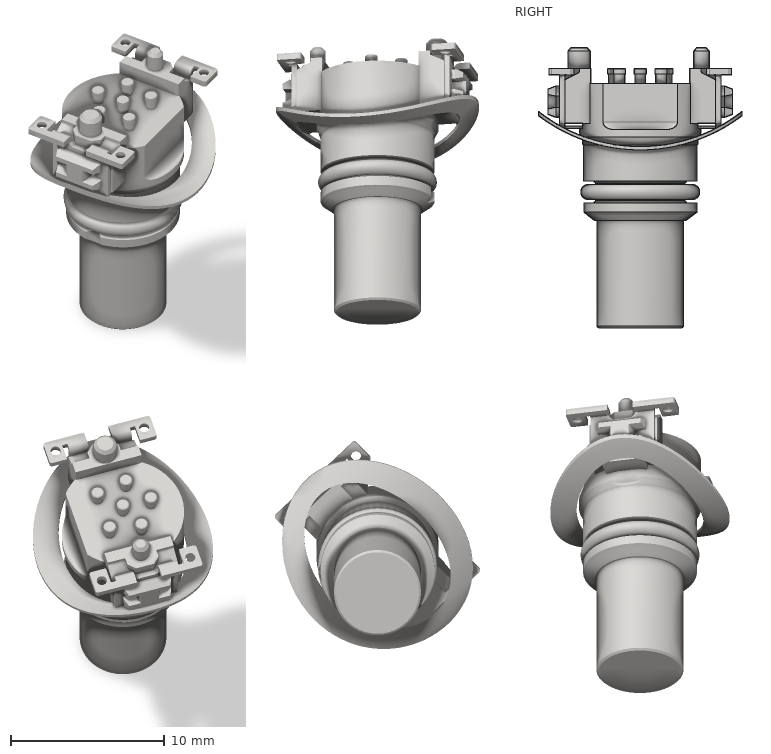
import cadquery as cq
import math

CLEARANCE = 0.18

BARREL_RADIUS = 2.84
BARREL_BOTTOM_CHAMFER = 0.13
RIM_RADIUS = 3.71
FLANGE_CONE_RADII = (2.96, 3.55)
FLANGE_LEVELS = (7.0, 7.45, 7.55, 8.16)
NECK_RADIUS = 2.91
NECK_FLARE = 0.15
MIDDLE_BOTTOM = 9.59
MIDDLE_TOP = 11.95
HEAD_RADIUS = 3.99
HEAD_BOTTOM = 12.46
HEAD_TOP = 15.95

ORING_OUTER_RADIUS = 3.88
ORING_SECTION_RADIUS = 0.5
ORING_Z = (FLANGE_LEVELS[3] + MIDDLE_BOTTOM) / 2

NOTCH_RADIUS = 0.6
NOTCH_DEPTH = 0.4

HEAD_FLAT_X = 3.17
HEAD_FLAT_FILLET = 0.51
HEAD_FLAT_FLOOR = 12.94

RING_OUTER = (11.6 / 2, 13.3 / 2)
RING_INNER = (4.06, 5.45)
RING_BOTTOM = 11.62
RING_BEND_RADIUS = 10.98
RING_THICKNESS = 0.22

CONTACT_POSITIONS = [(0, 0), (-1.9, 0), (-0.73, 1.74), (-0.73, -1.74), (1.32, 1.35), (1.32, -1.35)]
CONTACT_RADIUS = 0.35
CONTACT_COLLAR_RADIUS = 0.4
CONTACT_COLLAR_HEIGHT = 0.37
CONTACT_CHAMFER = 0.05

TOWER_HALF_WIDTH = 2.25
TOWER_INNER_Y = 3.22
TOWER_BOTTOM = 13.35
TOWER_TOP = 16.95
SHOULDER_INNER_Y = 3.97
SHOULDER_ARC_START = (SHOULDER_INNER_Y, 16.75)
SHOULDER_ARC_MIDDLE = (4.0, 16.67)
SHOULDER_ARC_END = (4.1, 16.62)
SHOULDER_SLOPE_END = (4.8, 16.27)
SHOULDER_HALF_WIDTH = 1.06
SHOULDER_BEVEL = 0.45
SHOULDER_BOTTOM = 16.18
TONGUE_HALF_WIDTH = SHOULDER_HALF_WIDTH - SHOULDER_BEVEL

PLATE_INNER_Y = 4.92
PLATE_OUTER_Y = 5.27
PLATE_HALF_WIDTH = 2.12
FOOT_HALF_WIDTH = 1.4
FOOT_BOTTOM = 13.01
FOOT_THICKNESS = 0.18
FOOT_INNER_Y = 3.75
FOOT_CORNER_RADIUS = 0.16

RELIEF_FACE_Y = 3.95
RELIEF_ARC_START = (RELIEF_FACE_Y, 12.88)
RELIEF_ARC_MIDDLE = (3.92, 12.57)
RELIEF_ARC_END = (3.82, 12.35)
RELIEF_FLOOR = (3.75, 12.22)

EAR_BOTTOM = 16.52
EAR_HALF_WIDTH = 3.65
EAR_INNER_Y = 4.34
EAR_OUTER_Y = 5.97
EAR_CORNER_RADIUS = 0.16
EAR_BEND_RADIUS = 0.4
EAR_HOLE = (3.02, 5.16)
EAR_HOLE_RADIUS = 0.33
EAR_SLOT_OUTER_X = 2.49
EAR_SLOT_END_Y = 5.45
GAP_HALF_WIDTH = 0.85
GAP_CHAMFER = 0.22

LUG_CENTER_Z = 14.77
LUG_HALF_WIDTH = 1.61
LUG_HALF_HEIGHT = 1.02
LUG_STRAIGHT_Y = 5.5
LUG_OUTER_Y = 6.02
LUG_DRAFT = 0.2
LUG_CORNER_RADIUS = 0.15
WEB_HALF_WIDTH = 0.6
SLOT_HALF_HEIGHT = 0.37
SLOT_DRAFT = 0.11
POCKET_INNER_X = 0.92
POCKET_OUTER_X = 1.4

POST_TOP = 18.3
POST_Y = 3.99
FRONT_POST_RADIUS = 0.73
BACK_POST_RADIUS = 0.51
POST_CHAMFER_HEIGHT = 0.24
POST_CHAMFER_WIDTH = 0.2


def box(x_range, y_range, z_range):
    """Box spanning the given (low, high) limits."""
    sizes = [high - low for low, high in (x_range, y_range, z_range)]
    corner = (x_range[0], y_range[0], z_range[0])
    return cq.Workplane("XY").box(*sizes, centered=False).translate(corner)


def symmetric_box(half_width, y_range, z_range):
    return box((-half_width, half_width), y_range, z_range)


def extrude_x(profile, half_width):
    """Extrude a closed YZ profile to both sides of X = 0."""
    return profile.extrude(half_width, both=True)


def both_x(solid):
    """The solid together with its mirror image across X = 0."""
    return solid.union(solid.mirror("YZ"))


def make_body():
    """Turned body with its O-ring, key notch and head flat."""
    cone_bottom, cone_top, rim_bottom, rim_top = FLANGE_LEVELS
    cone_inner, cone_outer = FLANGE_CONE_RADII
    flare_radius = NECK_RADIUS + NECK_FLARE
    oring_center_radius = ORING_OUTER_RADIUS - ORING_SECTION_RADIUS
    oring_contact = math.sqrt(ORING_SECTION_RADIUS**2 - (oring_center_radius - NECK_RADIUS) ** 2)
    lower_outline = [
        (0, 0),
        (BARREL_RADIUS - BARREL_BOTTOM_CHAMFER, 0),
        (BARREL_RADIUS, BARREL_BOTTOM_CHAMFER),
        (BARREL_RADIUS, cone_bottom),
        (cone_inner, cone_bottom),
        (cone_outer, cone_top),
        (RIM_RADIUS, rim_bottom),
        (RIM_RADIUS, rim_top),
        (flare_radius, rim_top),
        (NECK_RADIUS, rim_top + NECK_FLARE),
        (NECK_RADIUS, ORING_Z - oring_contact),
    ]
    upper_outline = [
        (NECK_RADIUS, MIDDLE_BOTTOM - NECK_FLARE),
        (flare_radius, MIDDLE_BOTTOM),
        (RIM_RADIUS, MIDDLE_BOTTOM),
        (RIM_RADIUS, MIDDLE_TOP),
        (HEAD_RADIUS, HEAD_BOTTOM),
        (HEAD_RADIUS, HEAD_TOP),
        (0, HEAD_TOP),
    ]
    profile = (
        cq.Workplane("XZ")
        .polyline(lower_outline)
        .threePointArc((ORING_OUTER_RADIUS, ORING_Z), (NECK_RADIUS, ORING_Z + oring_contact))
        .polyline(upper_outline, includeCurrent=True)
        .close()
    )
    body = profile.revolve(360, (0, 0), (0, 1))
    return body.cut(flange_notch()).cut(head_flat())


def flange_notch():
    """Rounded key notch through the flange on the -Y side."""
    center_y = -(RIM_RADIUS - NOTCH_DEPTH + NOTCH_RADIUS)
    bottom = FLANGE_LEVELS[0]
    height = FLANGE_LEVELS[3] - bottom
    return cq.Workplane("XY", origin=(0, center_y, bottom)).circle(NOTCH_RADIUS).extrude(height)


def head_flat():
    """Cutter for the flat on the +X side of the head, with a filleted foot."""
    beyond = HEAD_RADIUS + CLEARANCE
    cutter = box((HEAD_FLAT_X, beyond), (-beyond, beyond), (HEAD_FLAT_FLOOR, HEAD_TOP))
    return cutter.edges("<X and <Z").fillet(HEAD_FLAT_FILLET)


def head_relief():
    """Cutter for the foot seat and the shallow relief below it, on the +Y side of the head."""
    beyond = HEAD_RADIUS + CLEARANCE
    profile = (
        cq.Workplane("YZ")
        .moveTo(beyond, TOWER_BOTTOM)
        .lineTo(FOOT_INNER_Y, TOWER_BOTTOM)
        .lineTo(FOOT_INNER_Y, FOOT_BOTTOM)
        .lineTo(RELIEF_FACE_Y, FOOT_BOTTOM)
        .lineTo(*RELIEF_ARC_START)
        .threePointArc(RELIEF_ARC_MIDDLE, RELIEF_ARC_END)
        .lineTo(*RELIEF_FLOOR)
        .lineTo(RELIEF_FLOOR[0], MIDDLE_TOP)
        .lineTo(beyond, MIDDLE_TOP)
        .close()
    )
    return extrude_x(profile, FOOT_HALF_WIDTH)


def make_ring():
    """Thin oval ring bent about an axis parallel to X."""
    band_height = RING_BEND_RADIUS
    center = cq.Workplane("YZ").center(0, RING_BOTTOM + RING_BEND_RADIUS)
    shell = (
        center.circle(RING_BEND_RADIUS)
        .circle(RING_BEND_RADIUS - RING_THICKNESS)
        .extrude(RING_OUTER[0] + CLEARANCE, both=True)
    )
    oval = cq.Workplane("XY", origin=(0, 0, RING_BOTTOM - CLEARANCE))
    band = oval.ellipse(*RING_OUTER).extrude(band_height)
    opening = oval.ellipse(*RING_INNER).extrude(band_height)
    return shell.intersect(band).cut(opening)


def make_contacts():
    """Contact pins on the head, each with a collar at its tip."""
    collar_bottom = TOWER_TOP - CONTACT_COLLAR_HEIGHT
    shafts = (
        cq.Workplane("XY", origin=(0, 0, HEAD_TOP))
        .pushPoints(CONTACT_POSITIONS)
        .circle(CONTACT_RADIUS)
        .extrude(collar_bottom - HEAD_TOP)
    )
    collars = (
        cq.Workplane("XY", origin=(0, 0, collar_bottom))
        .pushPoints(CONTACT_POSITIONS)
        .circle(CONTACT_COLLAR_RADIUS)
        .extrude(CONTACT_COLLAR_HEIGHT)
        .faces(">Z")
        .chamfer(CONTACT_CHAMFER)
    )
    return shafts.union(collars)


def make_tower():
    """Block beside the head, with sloped shoulders either side of a central tongue."""
    block = symmetric_box(TOWER_HALF_WIDTH, (TOWER_INNER_Y, PLATE_INNER_Y), (TOWER_BOTTOM, TOWER_TOP))
    shoulder_profile = (
        cq.Workplane("YZ")
        .moveTo(SHOULDER_INNER_Y, TOWER_TOP)
        .lineTo(*SHOULDER_ARC_START)
        .threePointArc(SHOULDER_ARC_MIDDLE, SHOULDER_ARC_END)
        .lineTo(*SHOULDER_SLOPE_END)
        .lineTo(PLATE_INNER_Y, SHOULDER_BOTTOM)
        .lineTo(PLATE_INNER_Y, TOWER_TOP)
        .close()
    )
    shoulders = extrude_x(shoulder_profile, TOWER_HALF_WIDTH)
    tongue_half_outline = [
        (SHOULDER_HALF_WIDTH, TOWER_INNER_Y),
        (SHOULDER_HALF_WIDTH, PLATE_INNER_Y - SHOULDER_BEVEL),
        (TONGUE_HALF_WIDTH, PLATE_INNER_Y),
    ]
    tongue_outline = tongue_half_outline + [(-x, y) for x, y in reversed(tongue_half_outline)]
    tongue = (
        cq.Workplane("XY", origin=(0, 0, SHOULDER_BOTTOM))
        .polyline(tongue_outline)
        .close()
        .extrude(TOWER_TOP - SHOULDER_BOTTOM)
    )
    return block.cut(shoulders).union(tongue)


def make_bracket():
    """Foot, upright plate and two ears split by a central gap."""
    foot = symmetric_box(
        FOOT_HALF_WIDTH, (FOOT_INNER_Y, PLATE_OUTER_Y), (FOOT_BOTTOM, FOOT_BOTTOM + FOOT_THICKNESS)
    )
    foot = foot.edges("|Z and <Y").fillet(FOOT_CORNER_RADIUS)
    plate = symmetric_box(PLATE_HALF_WIDTH, (PLATE_INNER_Y, PLATE_OUTER_Y), (FOOT_BOTTOM, EAR_BOTTOM))
    plate = plate.edges("|Y and <Z").fillet(TOWER_BOTTOM - FOOT_BOTTOM)

    ears = symmetric_box(EAR_HALF_WIDTH, (EAR_INNER_Y, EAR_OUTER_Y), (EAR_BOTTOM, TOWER_TOP))
    ears = ears.edges("|Z").fillet(EAR_CORNER_RADIUS)
    opening = symmetric_box(EAR_SLOT_OUTER_X, (EAR_INNER_Y, EAR_SLOT_END_Y), (EAR_BOTTOM, TOWER_TOP))
    bend = symmetric_box(PLATE_HALF_WIDTH, (PLATE_INNER_Y, EAR_SLOT_END_Y), (EAR_BOTTOM, TOWER_TOP))
    bend = bend.edges("<Y and >Z").fillet(EAR_BEND_RADIUS)
    hole_x, hole_y = EAR_HOLE
    holes = (
        cq.Workplane("XY", origin=(0, 0, EAR_BOTTOM))
        .pushPoints([(-hole_x, hole_y), (hole_x, hole_y)])
        .circle(EAR_HOLE_RADIUS)
        .extrude(TOWER_TOP - EAR_BOTTOM)
    )
    gap = symmetric_box(GAP_HALF_WIDTH, (PLATE_INNER_Y, EAR_OUTER_Y), (SHOULDER_BOTTOM, TOWER_TOP))
    gap = gap.edges("|Y and <Z").chamfer(GAP_CHAMFER)
    return foot.union(plate).union(ears.cut(opening).cut(holes)).union(bend).cut(gap)


def lug_plane(y):
    """XZ plane at the given Y, centred on the lug and facing +Y."""
    return cq.Workplane(cq.Plane((0, y, LUG_CENTER_Z), xDir=(1, 0, 0), normal=(0, 1, 0)))


def make_lug():
    """Lug blank on the plate: a straight root and a drafted head."""
    draft_length = LUG_OUTER_Y - LUG_STRAIGHT_Y
    width = 2 * LUG_HALF_WIDTH
    height = 2 * LUG_HALF_HEIGHT
    base = (
        lug_plane(PLATE_OUTER_Y)
        .rect(width, height)
        .extrude(LUG_STRAIGHT_Y - PLATE_OUTER_Y)
        .edges("|Y")
        .fillet(LUG_CORNER_RADIUS)
    )
    head = (
        lug_plane(LUG_STRAIGHT_Y)
        .rect(width, height)
        .extrude(draft_length, taper=math.degrees(math.atan(LUG_DRAFT / draft_length)))
    )
    return base.union(head)


def lug_slot():
    """Cutter for the +X slot of the lug, with drafted walls and a rounded pocket in the plate."""
    draft_length = LUG_OUTER_Y - LUG_STRAIGHT_Y
    root_x = WEB_HALF_WIDTH + LUG_DRAFT
    root_width = LUG_HALF_WIDTH - root_x
    mouth_width = LUG_HALF_WIDTH - WEB_HALF_WIDTH
    mouth_shift = (WEB_HALF_WIDTH - root_x) / 2
    mouth = (
        lug_plane(LUG_STRAIGHT_Y)
        .center(root_x + root_width / 2, 0)
        .rect(root_width, 2 * SLOT_HALF_HEIGHT)
        .workplane(offset=draft_length)
        .center(mouth_shift, 0)
        .rect(mouth_width, 2 * (SLOT_HALF_HEIGHT + SLOT_DRAFT))
        .loft(ruled=True)
    )
    low = LUG_CENTER_Z - SLOT_HALF_HEIGHT
    high = LUG_CENTER_Z + SLOT_HALF_HEIGHT
    root = box((root_x, LUG_HALF_WIDTH), (PLATE_OUTER_Y, LUG_STRAIGHT_Y), (low, high))
    rounding_width = POCKET_OUTER_X - POCKET_INNER_X
    rounding_depth = PLATE_OUTER_Y - PLATE_INNER_Y
    rounding_radius = (rounding_width**2 + rounding_depth**2) / (2 * rounding_depth)
    pocket = (
        cq.Workplane("XY", origin=(0, 0, low))
        .moveTo(root_x, PLATE_OUTER_Y)
        .lineTo(root_x, PLATE_INNER_Y)
        .lineTo(POCKET_INNER_X, PLATE_INNER_Y)
        .radiusArc((POCKET_OUTER_X, PLATE_OUTER_Y), rounding_radius)
        .close()
        .extrude(high - low)
    )
    return mouth.union(root).union(pocket)


def make_post(radius, y):
    """Guide post standing on a tower, with a tapered tip."""
    return (
        cq.Workplane("XY", origin=(0, y, TOWER_TOP))
        .circle(radius)
        .extrude(POST_TOP - TOWER_TOP)
        .faces(">Z")
        .chamfer(POST_CHAMFER_HEIGHT, POST_CHAMFER_WIDTH)
    )


relief = head_relief()
body = make_body().cut(relief).cut(relief.mirror("XZ"))
side = make_tower().union(make_bracket()).union(make_lug()).cut(both_x(lug_slot()))

result = (
    body.union(make_contacts())
    .union(side)
    .union(side.mirror("XZ"))
    .union(make_ring())
    .union(make_post(FRONT_POST_RADIUS, -POST_Y))
    .union(make_post(BACK_POST_RADIUS, POST_Y))
)